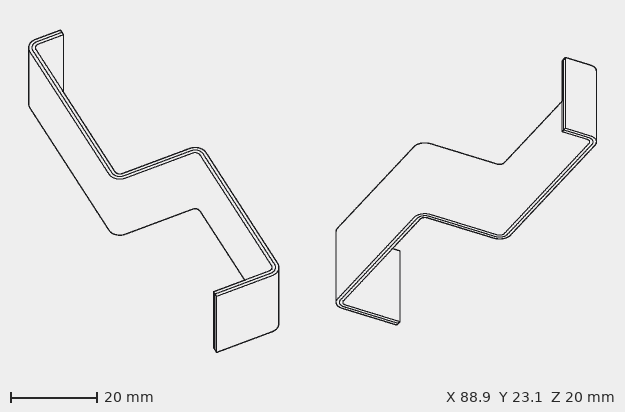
import cadquery as cq

LENGTH = 88.9
DEPTH = 23.1
HEIGHT = 20.0

LAYER_THICKNESS = 0.8
INNER_BEND_RADIUS = 1.25
SEAM_BEND_RADIUS = INNER_BEND_RADIUS + LAYER_THICKNESS

FRONT_LEG_LENGTH = 47.2
LEFT_LEG_LENGTH = 9.3
RIGHT_LEG_LENGTH = 17.2

SEAM_LEFT = LAYER_THICKNESS
SEAM_RIGHT = LENGTH - LAYER_THICKNESS
SEAM_FRONT = LAYER_THICKNESS
SEAM_BACK = DEPTH - LAYER_THICKNESS
SEAM_STEP = FRONT_LEG_LENGTH - LAYER_THICKNESS
LEFT_TIP = LEFT_LEG_LENGTH
RIGHT_TIP = DEPTH - RIGHT_LEG_LENGTH


def face_corners(shift):
    """Corners of a face parallel to the seam; a positive shift moves it left of the path."""
    left = SEAM_LEFT + shift
    front = SEAM_FRONT + shift
    step = SEAM_STEP - shift
    back = SEAM_BACK + shift
    right = SEAM_RIGHT + shift
    return [(left, LEFT_TIP), (left, front), (step, front), (step, back), (right, back), (right, RIGHT_TIP)]


def round_bends(strip, shift):
    """Round the four bends of one face: the front pair turns left, the back pair right."""
    bends = face_corners(shift)[1:-1]
    radii = [SEAM_BEND_RADIUS - shift] * 2 + [SEAM_BEND_RADIUS + shift] * 2
    for (x, y), radius in zip(bends, radii):
        edge = cq.selectors.NearestToPointSelector((x, y, HEIGHT / 2))
        strip = strip.edges("|Z").edges(edge).fillet(radius)
    return strip


def bent_strip(shift):
    """A strip of constant thickness between the seam and the face shifted from it."""
    outline = face_corners(0) + face_corners(shift)[::-1]
    strip = cq.Workplane("XY").polyline(outline).close().extrude(HEIGHT)
    strip = round_bends(strip, 0)
    return round_bends(strip, shift)


upper_strip = bent_strip(LAYER_THICKNESS)
lower_strip = bent_strip(-LAYER_THICKNESS)

result = cq.Compound.makeCompound([upper_strip.val(), lower_strip.val()])